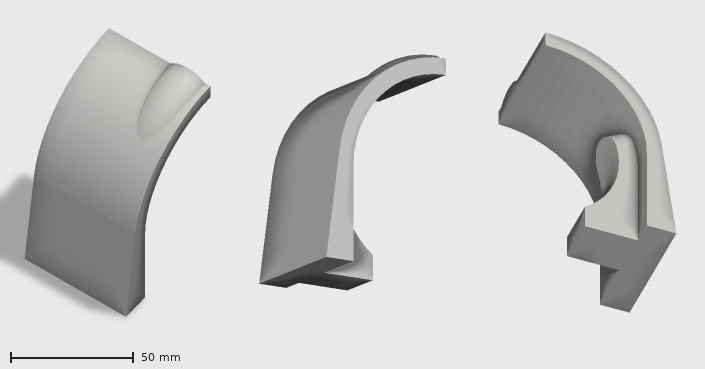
import cadquery as cq
import math

width = 51.7
depth = 57.5
axis_height = 40.0
inner_radius = 44.5
outer_radius = 51.6

rib_left = 9.8
rib_round_radius = 9.8
rib_seat_radius = 36.2
rib_back = 21.2
rib_top_angle = 30

bump_x = 40.1
bump_top = 94.95
bump_sweep_radius = 42.5
bump_section_radius = 12.7


def polar(radius, degrees):
    """Point (y, z) at an angle above horizontal on the -Y side of the shell axis."""
    angle = math.radians(degrees)
    return -radius * math.cos(angle), axis_height + radius * math.sin(angle)


def make_shell():
    foot_distance = math.hypot(depth, axis_height)
    foot_angle = math.degrees(math.atan2(-axis_height, depth))
    tangent_angle = foot_angle + math.degrees(math.acos(outer_radius / foot_distance))
    outer_middle_angle = (tangent_angle + 90) / 2
    return (
        cq.Workplane("YZ")
        .moveTo(-depth, 0)
        .lineTo(*polar(outer_radius, tangent_angle))
        .threePointArc(polar(outer_radius, outer_middle_angle), (0, axis_height + outer_radius))
        .lineTo(0, axis_height + inner_radius)
        .threePointArc(polar(inner_radius, 45), (-inner_radius, axis_height))
        .lineTo(-inner_radius, 0)
        .close()
        .extrude(width)
    )


def make_rib():
    overlap_radius = (inner_radius + outer_radius) / 2
    seat_bottom = axis_height - math.sqrt(rib_seat_radius**2 - rib_back**2)
    side_profile = (
        cq.Workplane("YZ")
        .moveTo(-rib_back, 0)
        .lineTo(-rib_back, seat_bottom)
        .threePointArc(polar(rib_seat_radius, 0), polar(rib_seat_radius, rib_top_angle))
        .lineTo(*polar(overlap_radius, rib_top_angle))
        .threePointArc(polar(overlap_radius, rib_top_angle / 2), polar(overlap_radius, 0))
        .lineTo(-overlap_radius, 0)
        .close()
        .extrude(width)
    )
    angle = math.radians(rib_top_angle)
    arch_x = rib_left + rib_round_radius
    arch_plane = cq.Plane(
        origin=(arch_x, 0, axis_height),
        xDir=(1, 0, 0),
        normal=(0, -math.cos(angle), math.sin(angle)),
    )
    arch_reach = 2 * depth
    arch = (
        cq.Workplane(arch_plane)
        .moveTo(-rib_round_radius, -arch_reach)
        .lineTo(-rib_round_radius, -rib_round_radius)
        .threePointArc((0, 0), (rib_round_radius, -rib_round_radius))
        .lineTo(rib_round_radius, -arch_reach)
        .close()
        .extrude(arch_reach, both=True)
    )
    return side_profile.intersect(arch)


def make_bump():
    sweep_height = bump_top - bump_sweep_radius
    section_height = bump_top - bump_section_radius
    torus_piece = (
        cq.Workplane("XZ")
        .center(bump_x, section_height)
        .circle(bump_section_radius)
        .revolve(90, (0, sweep_height - section_height), (1, sweep_height - section_height))
    )
    wall_middle_radius = (inner_radius + outer_radius) / 2
    core = cq.Workplane("YZ").center(0, axis_height).circle(wall_middle_radius).extrude(2 * width)
    return torus_piece.cut(core)


result = make_shell().union(make_rib()).union(make_bump())